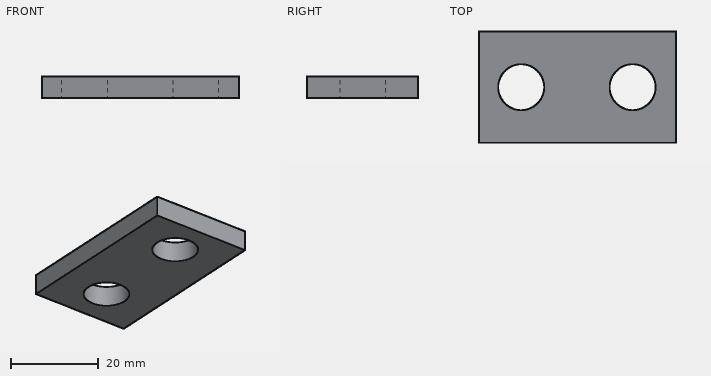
import cadquery as cq

plate_length = 44.95
plate_width = 25.4
plate_thickness = 5.0

hole_diameter = 10.45
hole_spacing = 25.4
hole_pair_x = -0.15

hole_centres = [(hole_pair_x + side * hole_spacing / 2, 0) for side in (-1, 1)]

plate = cq.Workplane("XY").box(plate_length, plate_width, plate_thickness)

result = (
    plate.faces(">Z")
    .workplane()
    .pushPoints(hole_centres)
    .hole(hole_diameter)
)